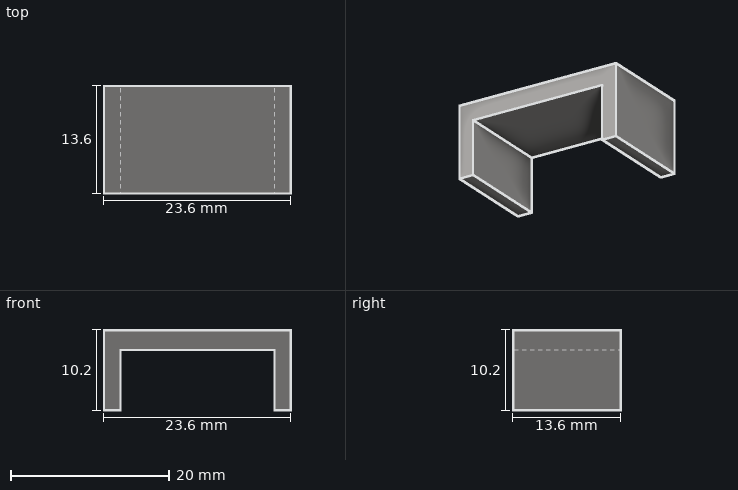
import cadquery as cq

length = 23.62
depth = 13.59
height = 10.16
top_thickness = 2.54
leg_thickness = 2.095

channel_width = length - 2 * leg_thickness
channel_height = height - top_thickness


def make_block():
    """Outer block, centred in X and Y, standing on Z = 0."""
    return cq.Workplane("XY").box(length, depth, height, centered=(True, True, False))


def make_channel():
    """Space between the legs, open at the bottom and at both Y ends."""
    return cq.Workplane("XY").box(channel_width, depth, channel_height, centered=(True, True, False))


result = make_block().cut(make_channel())